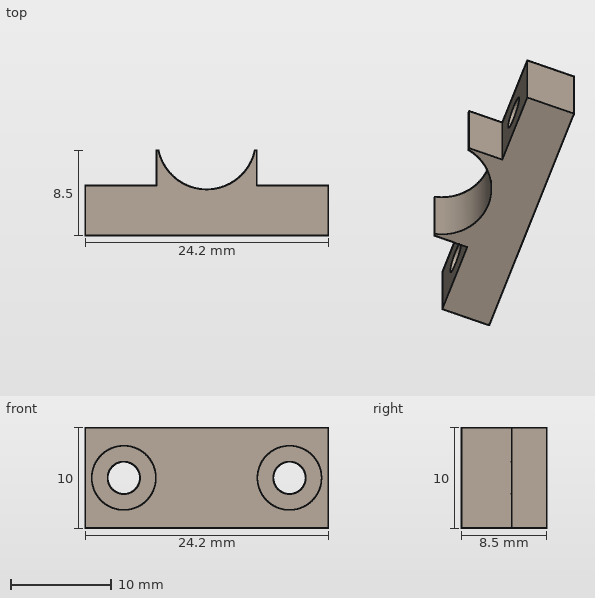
import cadquery as cq

length = 24.22
height = 10.0
plate_depth = 5.0
total_depth = 8.5
boss_width = height

saddle_radius = 4.9
saddle_bottom = 4.6

hole_spacing = 16.5
hole_diameter = 3.2
counterbore_diameter = 2 * hole_diameter
counterbore_depth = 2.0


def block(width, depth):
    """Full-height block centred in X and Z, with its front on Y = 0."""
    return cq.Workplane("XY").box(width, depth, height, centered=(True, False, True))


def screw_cylinder(x, diameter, depth):
    """Cylinder entering the front face at x and running toward +Y."""
    return cq.Workplane("XZ").center(x, 0).circle(diameter / 2).extrude(-depth)


body = block(length, plate_depth).union(block(boss_width, total_depth))

saddle = (
    cq.Workplane("XY")
    .center(0, saddle_bottom + saddle_radius)
    .circle(saddle_radius)
    .extrude(height / 2, both=True)
)
body = body.cut(saddle)

for x in (-hole_spacing / 2, hole_spacing / 2):
    body = body.cut(screw_cylinder(x, hole_diameter, plate_depth))
    body = body.cut(screw_cylinder(x, counterbore_diameter, counterbore_depth))

result = body